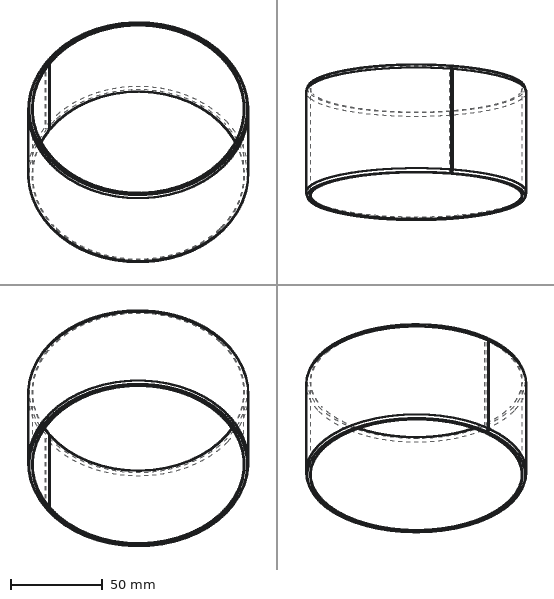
import cadquery as cq

outer_diameter = 120.0
height = 60.0
wall = 2.5

outer_chamfer_height = 1.9
outer_chamfer_depth = 0.7

bore_chamfer = 0.4

split_width = 1.0

outer_radius = outer_diameter / 2
inner_radius = outer_radius - wall


def bushing_wall():
    """Revolve the chamfered wall section about the Z axis."""
    section = [
        (inner_radius + bore_chamfer, 0),
        (outer_radius - outer_chamfer_depth, 0),
        (outer_radius, outer_chamfer_height),
        (outer_radius, height - outer_chamfer_height),
        (outer_radius - outer_chamfer_depth, height),
        (inner_radius + bore_chamfer, height),
        (inner_radius, height - bore_chamfer),
        (inner_radius, bore_chamfer),
    ]
    return cq.Workplane("XZ").polyline(section).close().revolve(360, (0, 0), (0, 1))


def split_cutter():
    """Thin slab that opens the ring along its full height."""
    return cq.Workplane("XY").box(
        outer_radius, split_width, height, centered=(False, False, False)
    ).translate((-outer_radius, 0, 0))


result = bushing_wall().cut(split_cutter())